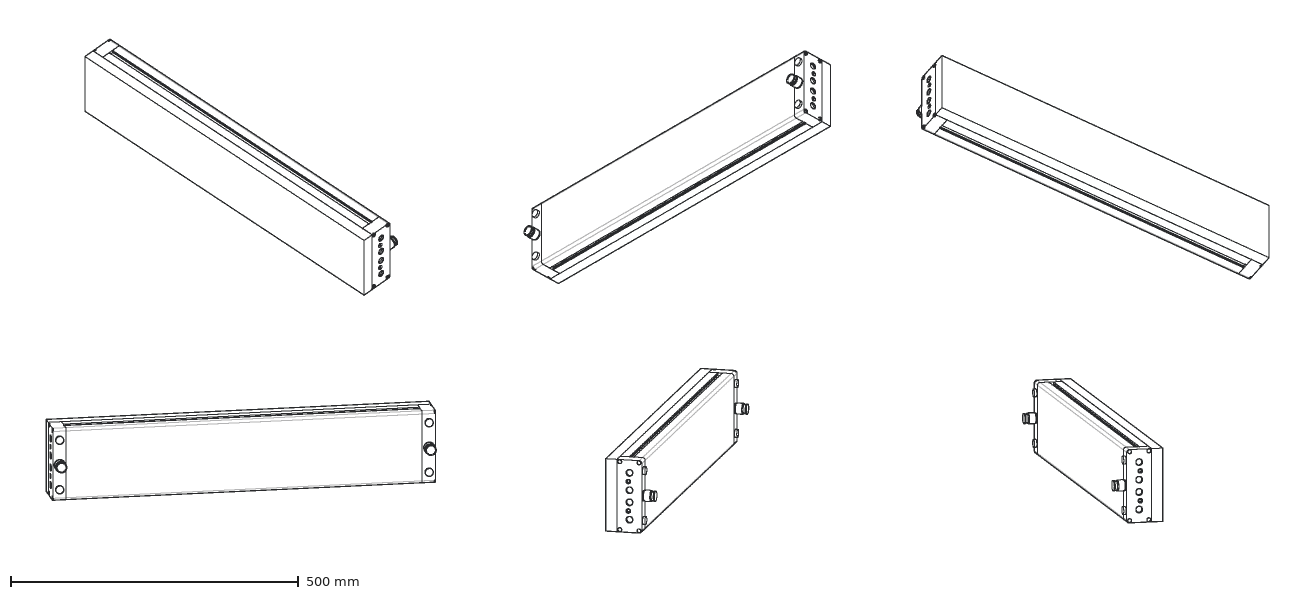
import cadquery as cq

LENGTH = 676.0
HEIGHT = 130.0
TOTAL_DEPTH = 86.5
BLOCK_DEPTH = 65.0
FRONT_PLATE_DEPTH = 20.0
CAP_WIDTH = 23.5
HOUSING_DEPTH = BLOCK_DEPTH - FRONT_PLATE_DEPTH

BACK_EDGE_RADIUS = 5.0

GROOVE_CENTER_Y = 40.5
GROOVE_WIDTH = 8.0
GROOVE_DEPTH = 5.5
GROOVE_LIP = 3.5
GROOVE_CAVITY_WIDTH = 9.5

LARGE_PORT_Y = 42.5
LARGE_PORT_DIAMETER = 11.0
LARGE_PORT_OFFSET = 15.5
LARGE_PORT_MOUTH = 12.0
SMALL_PORT_Y = 40.5
SMALL_PORT_Z = 26.5
SMALL_PORT_DIAMETER = 5.0
SMALL_PORT_MOUTH = 8.0
PORT_DEPTH = 3.5

SCREW_DIAMETER = 7.0
SCREW_EDGE_GAP = 4.0
SCREW_FRONT_Y = 25.0
SCREW_BACK_Y = 59.5
SCREW_Z = HEIGHT / 2 - SCREW_EDGE_GAP
SCREW_DEPTH = 2.0

FITTING_LENGTH = TOTAL_DEPTH - BLOCK_DEPTH
FITTING_BODY_DIAMETER = 19.5
FITTING_BASE_LENGTH = 2.0
FITTING_BODY_LENGTH = 11.5
FITTING_RING_LENGTH = 2.0
FITTING_NECK_DIAMETER = 15.5
FITTING_RING_DIAMETER = 18.0
FITTING_COLLAR_LENGTH = 2.0

PLUG_DIAMETER = 14.0
PLUG_HEIGHT = 4.0
PLUG_Z = 44.5


def housing_section(start_x, length):
    """Bar behind the front plate, with rounded long edges at the back."""
    bar = cq.Workplane("XY").box(length, HOUSING_DEPTH, HEIGHT, centered=(False, False, True))
    bar = bar.translate((start_x, FRONT_PLATE_DEPTH, 0))
    return bar.edges("|X and >Y").fillet(BACK_EDGE_RADIUS)


def make_front_plate():
    return cq.Workplane("XY").box(LENGTH, FRONT_PLATE_DEPTH, HEIGHT, centered=(True, False, True))


def make_profile():
    length = LENGTH - 2 * CAP_WIDTH
    profile = housing_section(-length / 2, length)
    cavity_height = GROOVE_DEPTH - GROOVE_LIP
    mouth = cq.Workplane("XY").box(length, GROOVE_WIDTH, 2 * GROOVE_DEPTH)
    cavity = cq.Workplane("XY").box(length, GROOVE_CAVITY_WIDTH, cavity_height)
    for side in (-1, 1):
        cavity_z = side * (HEIGHT / 2 - GROOVE_LIP - cavity_height / 2)
        profile = profile.cut(mouth.translate((0, GROOVE_CENTER_Y, side * HEIGHT / 2)))
        profile = profile.cut(cavity.translate((0, GROOVE_CENTER_Y, cavity_z)))
    return profile


def back_disc(x, y, z, diameter, length):
    """Cylinder that stands on a plane facing the back (+Y)."""
    circle = cq.Workplane("XZ", origin=(x, y, z)).circle(diameter / 2)
    return circle.extrude(-length)


def make_fitting(x):
    base = back_disc(x, BLOCK_DEPTH, 0, FITTING_RING_DIAMETER, FITTING_BASE_LENGTH)
    body_y = BLOCK_DEPTH + FITTING_BASE_LENGTH
    body = back_disc(x, body_y, 0, FITTING_BODY_DIAMETER, FITTING_BODY_LENGTH)
    ring_y = body_y + FITTING_BODY_LENGTH
    ring = back_disc(x, ring_y, 0, FITTING_RING_DIAMETER, FITTING_RING_LENGTH)
    neck = back_disc(x, BLOCK_DEPTH, 0, FITTING_NECK_DIAMETER, FITTING_LENGTH)
    collar_y = TOTAL_DEPTH - FITTING_COLLAR_LENGTH
    collar = back_disc(x, collar_y, 0, FITTING_RING_DIAMETER, FITTING_COLLAR_LENGTH)
    return base.union(body).union(ring).union(neck).union(collar)


def end_holes(positions, diameter, depth):
    """Round cutters that enter the left end face at the given (y, z) positions."""
    return (
        cq.Workplane("YZ", origin=(-LENGTH / 2, 0, 0))
        .pushPoints(positions)
        .circle(diameter / 2)
        .extrude(depth)
    )


def countersunk_ports(positions, diameter, mouth_diameter):
    """Blind holes that widen at 45 degrees to the mouth diameter at the end face."""
    ports = end_holes(positions, diameter, PORT_DEPTH)
    countersink_depth = (mouth_diameter - diameter) / 2
    cone = cq.Solid.makeCone(
        mouth_diameter / 2, diameter / 2, countersink_depth, dir=cq.Vector(1, 0, 0)
    )
    for y, z in positions:
        ports = ports.union(cq.Workplane(cone.translate(cq.Vector(-LENGTH / 2, y, z))))
    return ports


def make_left_cap():
    cap = housing_section(-LENGTH / 2, CAP_WIDTH)
    center_x = -LENGTH / 2 + CAP_WIDTH / 2

    small_ports = [(SMALL_PORT_Y, side * SMALL_PORT_Z) for side in (-1, 1)]
    large_ports = [
        (LARGE_PORT_Y, z + step * LARGE_PORT_OFFSET) for _, z in small_ports for step in (-1, 1)
    ]
    screws = [(y, side * SCREW_Z) for y in (SCREW_FRONT_Y, SCREW_BACK_Y) for side in (-1, 1)]
    cap = cap.cut(countersunk_ports(small_ports, SMALL_PORT_DIAMETER, SMALL_PORT_MOUTH))
    cap = cap.cut(countersunk_ports(large_ports, LARGE_PORT_DIAMETER, LARGE_PORT_MOUTH))
    cap = cap.cut(end_holes(screws, SCREW_DIAMETER, SCREW_DEPTH))

    cap = cap.union(make_fitting(center_x))
    for side in (-1, 1):
        cap = cap.union(back_disc(center_x, BLOCK_DEPTH, side * PLUG_Z, PLUG_DIAMETER, PLUG_HEIGHT))
    return cap


front_plate = make_front_plate()
profile = make_profile()
left_cap = make_left_cap()
right_cap = left_cap.mirror("YZ")

result = cq.Compound.makeCompound(
    [front_plate.val(), profile.val(), left_cap.val(), right_cap.val()]
)